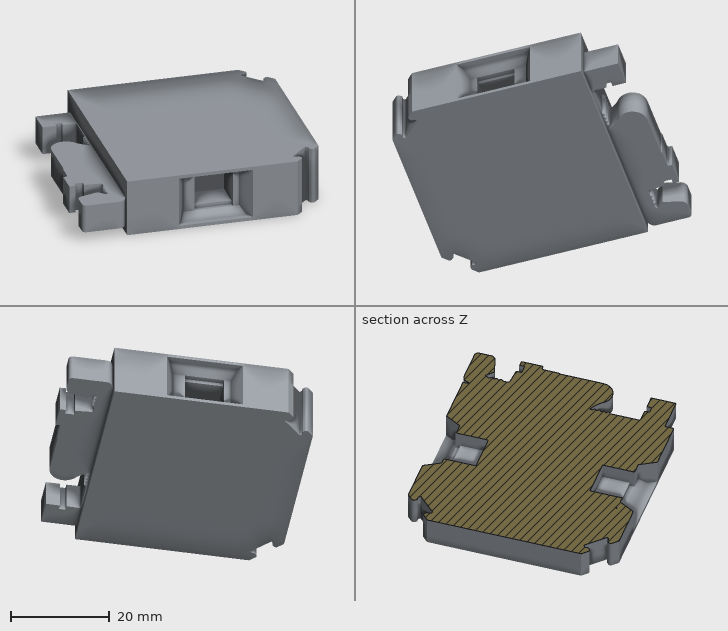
import cadquery as cq
import math


body_width = 44.95
overall_length = 51.45
body_length = 41.9
body_height = 12.0
corner_run = 6.05
mid_height = body_height / 2

slot_depth = 2.05
slot_floor_half = 2.6
slot_throat_half = 2.15
slot_undercut_top = 1.5
slot_throat_bottom = 1.1
slot_lip_radius = 0.55

mouth_length = 15.6
mouth_height = 10.55
throat_length = 11.75
throat_height = 7.8
funnel_depth = 3.45
funnel_center_y = 18.6
funnel_slope = 40
funnel_blend_radius = 1.05
select_margin = 0.05

chamber_length = 8.05
chamber_center_y = 19.15
entry_depth = 1.05
chamber_height = 6.35
chamber_end = 10.3

foot_bottom = 1.9
foot_height = 5.95
foot_depth = overall_length - body_length
foot_overlap = 0.5

jaw_left = 1.9
jaw_right = 7.3
jaw_depth = 7.3
jaw_notch_depth = 1.05
jaw_notch_top = 3.1
jaw_notch_bottom = 4.4

web_depth = 0.2
web_corner_radius = 0.4

tooth_pitch = 1.0
web_tooth_count = 4
web_tooth_start = 13.65
web_tooth_height = 0.5
latch_tooth_count = 3
latch_tooth_start = 37.35
latch_tooth_height = 0.4

latch_right = 45.35
nose_radius = 3.1
nose_center_x = 17.95
belly_depth = 8.45
belly_step = 0.18
tab_left = 30.95
tab_right = 35.65
tab_shoulder = 8.3
tab_notch_x = 34.65
tab_notch_top = 6.5
rail_gap_left = 36.0
rail_gap_top = 2.85
rail_gap_corner = 0.4
hook_depth = 9.35
hook_corner_radius = 0.8

neck_middle = (17.25, -1.55)
neck_end = (16.25, -2.7)
belly_step_start_x = 27.0
belly_step_end_x = 27.35
tab_ramp_x = 30.5
rail_gap_foot_x = 35.75
rail_gap_right_x = 40.45
hook_root = (41.2, -3.25)
hook_tip = (39.8, -4.8)
hook_round_start = (40.75, -8.25)
hook_round_middle = (41.25, -9.05)
hook_round_end_x = 42.5
shoulder_round_start_depth = 1.55
shoulder_round_middle = (45.0, -0.8)
shoulder_round_end = (44.5, -0.4)
shoulder_end_x = 43.55

ARC_INSET = 1 - math.sqrt(0.5)


def housing():
    return (
        cq.Workplane("XY")
        .polyline([
            (0, 0),
            (body_width, 0),
            (body_width, body_length - corner_run),
            (body_width - corner_run, body_length),
            (corner_run, body_length),
            (0, body_length - corner_run),
        ])
        .close()
        .extrude(body_height)
    )


def marker_slot():
    """Undercut slot with rounded lips, cut into the left rear corner face."""
    mouth_half = slot_throat_half + slot_lip_radius
    lip_inset = slot_lip_radius * ARC_INSET
    corner_plane = cq.Plane(
        origin=(corner_run / 2, body_length - corner_run / 2, 0),
        xDir=(1, 1, 0),
        normal=(0, 0, 1),
    )
    return (
        cq.Workplane(corner_plane)
        .moveTo(-mouth_half, 0)
        .threePointArc(
            (-slot_throat_half - lip_inset, -lip_inset),
            (-slot_throat_half, -slot_lip_radius),
        )
        .lineTo(-slot_throat_half, -slot_throat_bottom)
        .lineTo(-slot_floor_half, -slot_undercut_top)
        .lineTo(-slot_floor_half, -slot_depth)
        .lineTo(slot_floor_half, -slot_depth)
        .lineTo(slot_floor_half, -slot_undercut_top)
        .lineTo(slot_throat_half, -slot_throat_bottom)
        .lineTo(slot_throat_half, -slot_lip_radius)
        .threePointArc((slot_throat_half + lip_inset, -lip_inset), (mouth_half, 0))
        .close()
        .extrude(body_height)
    )


def wire_funnel():
    """Mouth that narrows in both directions, on the left side."""
    rise = (mouth_height - throat_height) / 2
    bend_x = funnel_depth - rise / math.tan(math.radians(funnel_slope))
    bend_region = (
        (bend_x - select_margin, 0, 0),
        (bend_x + select_margin, body_length, body_height),
    )
    side_profile = (
        cq.Workplane("XZ", origin=(0, funnel_center_y, mid_height))
        .polyline([
            (0, -mouth_height / 2),
            (bend_x, -mouth_height / 2),
            (funnel_depth, -throat_height / 2),
            (funnel_depth, throat_height / 2),
            (bend_x, mouth_height / 2),
            (0, mouth_height / 2),
        ])
        .close()
        .extrude(mouth_length / 2, both=True)
        .edges(cq.selectors.BoxSelector(*bend_region))
        .edges("|Y")
        .fillet(funnel_blend_radius)
    )
    plan_profile = (
        cq.Workplane("XY", origin=(0, funnel_center_y, 0))
        .polyline([
            (0, -mouth_length / 2),
            (funnel_depth, -throat_length / 2),
            (funnel_depth, throat_length / 2),
            (0, mouth_length / 2),
        ])
        .close()
        .extrude(body_height)
    )
    return side_profile.intersect(plan_profile)


def wire_chamber():
    """Box behind the left funnel with a full-height entry."""
    start = cq.Workplane("XY", origin=(funnel_depth, chamber_center_y, mid_height))
    centered = (False, True, True)
    entry = start.box(entry_depth, chamber_length, throat_height, centered=centered)
    chamber = start.box(
        chamber_end - funnel_depth, chamber_length, chamber_height, centered=centered
    )
    return entry.union(chamber)


def foot_plane():
    return cq.Workplane("XY", origin=(0, 0, foot_bottom))


def teeth(start_x, count, root_y, height):
    """Row of triangular teeth pointing toward -Y."""
    row = foot_plane()
    for index in range(count):
        left = start_x + index * tooth_pitch
        row = (
            row.moveTo(left, root_y + web_depth)
            .lineTo(left, root_y)
            .lineTo(left + tooth_pitch / 2, root_y - height)
            .lineTo(left + tooth_pitch, root_y)
            .lineTo(left + tooth_pitch, root_y + web_depth)
            .close()
        )
    return row.extrude(foot_height)


def jaw_and_web():
    """Fixed jaw with its notch, and the thin web that runs on to the latch."""
    corner_inset = web_corner_radius * ARC_INSET
    return (
        foot_plane()
        .moveTo(jaw_left, foot_overlap)
        .lineTo(jaw_left, -jaw_depth)
        .lineTo(jaw_right, -jaw_depth)
        .lineTo(jaw_right, -jaw_notch_bottom)
        .lineTo(jaw_right - jaw_notch_depth, -jaw_notch_bottom)
        .lineTo(jaw_right - jaw_notch_depth, -jaw_notch_top)
        .lineTo(jaw_right, -jaw_notch_top)
        .lineTo(jaw_right, -web_depth - web_corner_radius)
        .threePointArc(
            (jaw_right + corner_inset, -web_depth - corner_inset),
            (jaw_right + web_corner_radius, -web_depth),
        )
        .lineTo(nose_center_x, -web_depth)
        .lineTo(nose_center_x, foot_overlap)
        .close()
        .extrude(foot_height)
    )


def latch():
    """Sprung latch with rounded nose, release tab, rail gap and hook."""
    gap_inset = rail_gap_corner * ARC_INSET
    hook_inset = hook_corner_radius * ARC_INSET
    return (
        foot_plane()
        .moveTo(nose_center_x, foot_overlap)
        .lineTo(nose_center_x, -web_depth)
        .threePointArc(neck_middle, neck_end)
        .threePointArc(
            (nose_center_x - nose_radius, nose_radius - belly_depth),
            (nose_center_x, -belly_depth),
        )
        .lineTo(belly_step_start_x, -belly_depth)
        .lineTo(belly_step_end_x, -belly_depth - belly_step)
        .lineTo(tab_ramp_x, -belly_depth - belly_step)
        .lineTo(tab_left, -belly_depth - 2 * belly_step)
        .lineTo(tab_left, -foot_depth)
        .lineTo(tab_right, -foot_depth)
        .lineTo(tab_right, -tab_shoulder)
        .lineTo(tab_notch_x, -tab_shoulder)
        .lineTo(tab_notch_x, -tab_notch_top)
        .lineTo(rail_gap_foot_x, -tab_notch_top)
        .lineTo(rail_gap_left, -rail_gap_top - rail_gap_corner)
        .threePointArc(
            (rail_gap_left + gap_inset, -rail_gap_top - gap_inset),
            (rail_gap_left + rail_gap_corner, -rail_gap_top),
        )
        .lineTo(rail_gap_right_x, -rail_gap_top)
        .lineTo(*hook_root)
        .lineTo(*hook_tip)
        .lineTo(*hook_round_start)
        .threePointArc(hook_round_middle, (hook_round_end_x, -hook_depth))
        .lineTo(latch_right - hook_corner_radius, -hook_depth)
        .threePointArc(
            (latch_right - hook_inset, -hook_depth + hook_inset),
            (latch_right, -hook_depth + hook_corner_radius),
        )
        .lineTo(latch_right, -shoulder_round_start_depth)
        .threePointArc(shoulder_round_middle, shoulder_round_end)
        .lineTo(shoulder_end_x, 0)
        .lineTo(shoulder_end_x, foot_overlap)
        .close()
        .extrude(foot_height)
    )


def both_sides(cutter):
    middle = (body_width / 2, 0, 0)
    return cutter.union(cutter.mirror("YZ", middle))


result = (
    housing()
    .cut(both_sides(marker_slot()))
    .cut(both_sides(wire_funnel()))
    .cut(both_sides(wire_chamber()))
    .union(jaw_and_web())
    .union(latch())
    .union(teeth(web_tooth_start, web_tooth_count, -web_depth, web_tooth_height))
    .union(teeth(latch_tooth_start, latch_tooth_count, -rail_gap_top, latch_tooth_height))
)